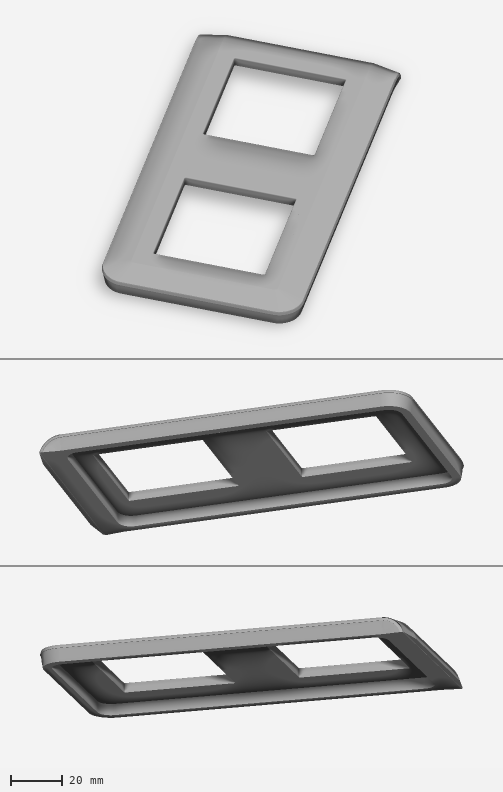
import cadquery as cq
import math

LENGTH = 153.0
WIDTH = 82.0
HEIGHT = 8.5

SEAM_Z = 5.4
EDGE_Z = 6.7
WEB_THICKNESS = 4.0

CORNER_RADIUS = 10.1
LIP_TOP_Z = 6.5
LIP_FLARE = 0.3
EDGE_INSET = 0.5
FLAT_WIDTH = 59.7
FLAT_FRONT = 65.8
FLAT_CORNER_RADIUS = 1.2

BEND_Y = 65.8
BEND_REACH = LENGTH / 2 - BEND_Y
BEND_RADIUS = (BEND_REACH**2 + HEIGHT**2) / (2 * HEIGHT)
BEND_AXIS_Z = HEIGHT - BEND_RADIUS

OPENING_SIZE = 45.3
OPENING_PITCH = 71.5
OPENING_CORNER_RADIUS = 0.5
OPENING_ROUND = 0.5
RIM_MARGIN = 1.5

FRAME_TOP_INSET = 0.3
FRAME_MIDDLE_INSET = 0.6
FRAME_FOOT_INSET = 1.0
FRAME_WALL = 4.6
POCKET_CORNER_RADIUS = CORNER_RADIUS - FRAME_WALL


def border_outline(z, half_width, front, radius):
    """U-shaped closed wire at height z: rounded front corners, straight end at the bend."""
    diagonal = radius * (1 - math.sqrt(0.5))
    return (
        cq.Workplane("XY", origin=(0, 0, z))
        .moveTo(half_width, BEND_Y)
        .lineTo(-half_width, BEND_Y)
        .lineTo(-half_width, radius - front)
        .threePointArc((diagonal - half_width, diagonal - front), (radius - half_width, -front))
        .lineTo(half_width - radius, -front)
        .threePointArc((half_width - diagonal, diagonal - front), (half_width, radius - front))
        .close()
        .val()
    )


def inset_outline(z, inset):
    """Cover footprint moved inwards by the inset."""
    return border_outline(z, WIDTH / 2 - inset, LENGTH / 2 - inset, CORNER_RADIUS - inset)


def bent_layer(outlines, ruled):
    """Layer through the outlines, continued round the rear bend down to the ground plane."""
    straight = cq.Workplane(cq.Solid.makeLoft(outlines, ruled))
    end_wire = straight.faces(">Y").wires().val()
    axis_start = cq.Vector(0, BEND_Y, BEND_AXIS_Z)
    axis_end = axis_start + cq.Vector(-1.5, 0, 0)
    bend = cq.Workplane(cq.Solid.revolve(end_wire, [], 90, axis_start, axis_end))
    above_ground = cq.Workplane("XY").rect(2 * WIDTH, 2 * LENGTH).extrude(2 * HEIGHT)
    return straight.union(bend.intersect(above_ground))


def pocket_block(z_low, z_high):
    """Block that fills the inside of the frame between two heights."""
    width = WIDTH - 2 * FRAME_WALL
    front = FRAME_WALL - LENGTH / 2
    return (
        cq.Workplane("XY", origin=(0, (front + BEND_Y) / 2, z_low))
        .rect(width, BEND_Y - front)
        .extrude(z_high - z_low)
        .edges("|Z")
        .fillet(POCKET_CORNER_RADIUS)
    )


def opening_cutter(y):
    """Square hole through the cover, centred at the given Y."""
    return (
        cq.Workplane("XY", origin=(0, y, 0))
        .rect(OPENING_SIZE, OPENING_SIZE)
        .extrude(HEIGHT)
        .edges("|Z")
        .fillet(OPENING_CORNER_RADIUS)
    )


def make_cover():
    lip_foot = inset_outline(SEAM_Z, 0)
    lip_top = inset_outline(LIP_TOP_Z, LIP_FLARE)
    edge = inset_outline(EDGE_Z, EDGE_INSET)
    flat_outline = border_outline(HEIGHT, FLAT_WIDTH / 2, FLAT_FRONT, FLAT_CORNER_RADIUS)
    lip = bent_layer([lip_foot, lip_top, edge], ruled=True)
    border = bent_layer([edge, flat_outline], ruled=True)
    cover = lip.union(border).union(pocket_block(HEIGHT - WEB_THICKNESS, SEAM_Z))
    for y in (-OPENING_PITCH / 2, OPENING_PITCH / 2):
        cover = cover.cut(opening_cutter(y))
    rims = cq.selectors.BoxSelector(
        (-FLAT_WIDTH / 2 + RIM_MARGIN, -FLAT_FRONT + RIM_MARGIN, HEIGHT - RIM_MARGIN),
        (FLAT_WIDTH / 2 - RIM_MARGIN, BEND_Y - RIM_MARGIN, HEIGHT + RIM_MARGIN),
        boundingbox=True,
    )
    cover = cover.edges(rims).fillet(OPENING_ROUND)
    return cover


def make_frame():
    walls = bent_layer(
        [
            inset_outline(0, FRAME_FOOT_INSET),
            inset_outline(SEAM_Z / 2, FRAME_MIDDLE_INSET),
            inset_outline(SEAM_Z, FRAME_TOP_INSET),
        ],
        ruled=False,
    )
    return walls.cut(pocket_block(0, SEAM_Z))


cover = make_cover()
frame = make_frame()
result = cq.Compound.makeCompound([cover.val(), frame.val()])